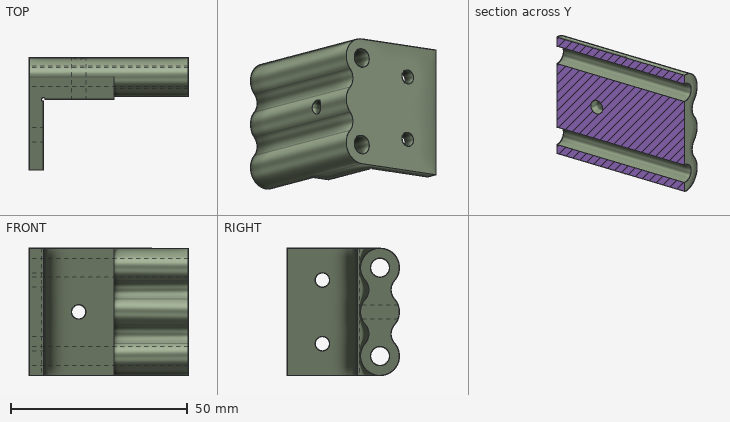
import cadquery as cq
import math

LENGTH = 45.0
HEIGHT = 36.0
DEPTH = 31.8

TUBE_RADIUS = 5.5
VALLEY_RADIUS = 4.0
BORE_DIAMETER = 5.3

PLATE_THICKNESS = 4.0
PLATE_REACH = 20.0
BLOCK_END_X = 24.0
RELIEF_RADIUS = 0.5

SCREW_DIAMETER = 4.0
PLATE_SCREW_SPACING = 18.0
PLATE_SCREW_EDGE = 10.0
BLOCK_SCREW_X = 14.0

MID_Z = HEIGHT / 2
TUBE_PITCH = MID_Z - TUBE_RADIUS
BOTTOM_TUBE_Z = MID_Z - TUBE_PITCH
TOP_TUBE_Z = MID_Z + TUBE_PITCH
PLATE_FRONT_Y = TUBE_RADIUS - DEPTH
BLOCK_FRONT_Y = PLATE_FRONT_Y + PLATE_REACH

CENTRE_DISTANCE = TUBE_RADIUS + VALLEY_RADIUS
VALLEY_AXIS_Y = math.sqrt(CENTRE_DISTANCE**2 - (TUBE_PITCH / 2) ** 2)
VALLEY_BOTTOM_Y = VALLEY_AXIS_Y - VALLEY_RADIUS
TANGENT_Y = VALLEY_AXIS_Y * TUBE_RADIUS / CENTRE_DISTANCE
TANGENT_DZ = TUBE_PITCH / 2 * TUBE_RADIUS / CENTRE_DISTANCE


def add_wavy_side(outline, side):
    """Trace crests and valleys from one outer tube to the other.

    The back (side = 1) runs upwards and the front (side = -1) runs downwards.
    """
    for tube in (-1, 0):
        tube_z = MID_Z + side * tube * TUBE_PITCH
        crest = (side * TUBE_RADIUS, tube_z)
        crest_end = (side * TANGENT_Y, tube_z + side * TANGENT_DZ)
        valley = (side * VALLEY_BOTTOM_Y, tube_z + side * TUBE_PITCH / 2)
        valley_end = (side * TANGENT_Y, tube_z + side * (TUBE_PITCH - TANGENT_DZ))
        outline = outline.threePointArc(crest, crest_end).threePointArc(valley, valley_end)
    last_z = MID_Z + side * TUBE_PITCH
    return outline.threePointArc((side * TUBE_RADIUS, last_z), (0, MID_Z + side * MID_Z))


def make_tubes():
    """Solid tube bundle over the full length, wavy at back and front."""
    outline = cq.Workplane("YZ").moveTo(0, 0)
    outline = add_wavy_side(outline, 1)
    outline = add_wavy_side(outline, -1)
    return outline.close().extrude(LENGTH)


def make_slab(thickness, front_y):
    """Full-height slab from the tube axis plane forward to front_y, starting at X = 0."""
    return cq.Workplane("XY").box(thickness, -front_y, HEIGHT, centered=False).translate((0, front_y, 0))


def make_corner_relief():
    """Round groove along the inside corner between plate and block."""
    return cq.Workplane("XY").center(PLATE_THICKNESS, BLOCK_FRONT_Y).circle(RELIEF_RADIUS).extrude(HEIGHT)


def make_tube_bores():
    """Bores through the two outer tubes."""
    centres = [(0, BOTTOM_TUBE_Z), (0, TOP_TUBE_Z)]
    return cq.Workplane("YZ").pushPoints(centres).circle(BORE_DIAMETER / 2).extrude(LENGTH)


def make_plate_screw_holes():
    """Two screw holes through the plate."""
    hole_y = PLATE_FRONT_Y + PLATE_SCREW_EDGE
    centres = [(hole_y, MID_Z + end * PLATE_SCREW_SPACING / 2) for end in (-1, 1)]
    return cq.Workplane("YZ").pushPoints(centres).circle(SCREW_DIAMETER / 2).extrude(PLATE_THICKNESS)


def make_block_screw_hole():
    """Screw hole through the block and the middle tube, along Y."""
    start = cq.Workplane("XZ", origin=(BLOCK_SCREW_X, TUBE_RADIUS, MID_Z))
    return start.circle(SCREW_DIAMETER / 2).extrude(DEPTH)


result = (
    make_tubes()
    .union(make_slab(PLATE_THICKNESS, PLATE_FRONT_Y))
    .union(make_slab(BLOCK_END_X, BLOCK_FRONT_Y))
    .cut(make_corner_relief())
    .cut(make_tube_bores())
    .cut(make_plate_screw_holes())
    .cut(make_block_screw_hole())
)